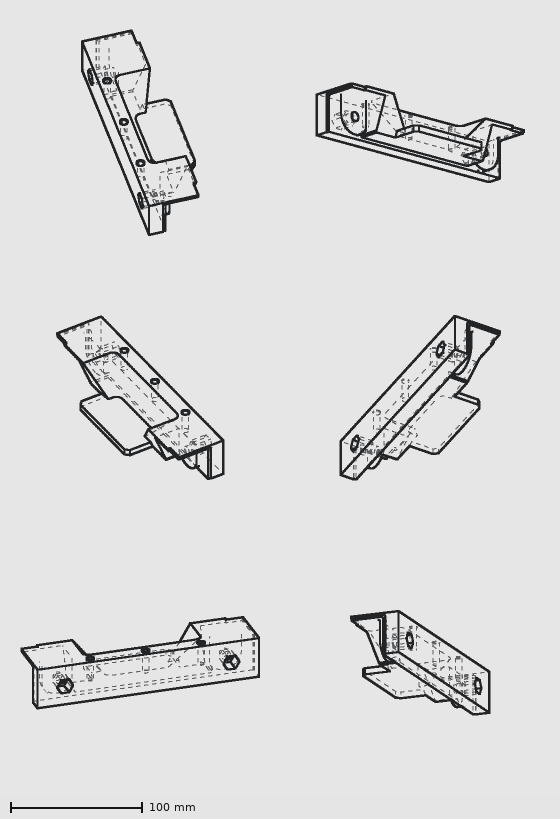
import cadquery as cq
import math

LENGTH = 177.8
HEIGHT = 32.5
DEPTH = 53.5

WALL = 13.2
FLANGE = 2.8
FLANGE_DEPTH = 41.6
INNER_FILLET = 1.8
ROOT_FILLET = 0.9
REAR_SLOPE = 0.39

RELIEF_LENGTH = 0.7
RELIEF = 2.0
THIN_FLANGE = 1.5

NOTCH_LENGTH = 13.5
NOTCH_DEPTH = 2.3

BLOCK_WIDTH = 110.2
BLOCK_CHAMFER_HEIGHT = 1.5
BLOCK_CHAMFER_WIDTH = 0.7
TONGUE_WIDTH = 70.2
TONGUE_BOTTOM = 2.7
TONGUE_THICKNESS = 5.0
TONGUE_TOP = TONGUE_BOTTOM + TONGUE_THICKNESS
TONGUE_CHAMFER = 3.0

RECESS_TOP_WIDTH = 94.8
RECESS_FLOOR_WIDTH = 53.0
RECESS_FRONT = 12.8
RECESS_FILLET = 6.0

BOLT_SPACING = 133.4
BOLT_Z = 15.3
BOLT_DIAMETER = 7.1
BOSS_RADIUS = 14.2
BOSS_REAR = 18.8
HEX_FLATS = 11.0
HEX_DEPTH = 12.5

TOP_HOLE_SPACING = 44.5
TOP_HOLE_Y = 6.5
TOP_HOLE_DIAMETER = 5.0
TOP_HOLE_DEPTH = 17.8
TOP_HOLE_CHAMFER = 0.5
DRILL_TIP_ANGLE = 118

MARGIN = 0.2


def rear_y(z):
    """Y of the sloping rear surface at height z."""
    return FLANGE_DEPTH - REAR_SLOPE * (HEIGHT - z)


def side_profile(points, width):
    """Extrude a closed Y-Z outline symmetrically about the middle of the part."""
    return cq.Workplane("YZ").polyline(points).close().extrude(width / 2, both=True)


def make_angle(length, wall, flange, rear):
    """L-section body with a filleted inner corner."""
    underside = HEIGHT - flange
    outline = [
        (0, 0), (wall, 0), (wall, underside),
        (rear, underside), (rear, HEIGHT), (0, HEIGHT),
    ]
    inner_corner = cq.selectors.NearestToPointSelector((0, wall, underside))
    return side_profile(outline, length).edges("|X").edges(inner_corner).fillet(INNER_FILLET)


def make_body():
    """Angle with stepped ends and a notch at each end of its rear edge."""
    notch_y = FLANGE_DEPTH - NOTCH_DEPTH
    ends = make_angle(LENGTH, WALL - RELIEF, THIN_FLANGE, notch_y)
    middle_length = LENGTH - 2 * RELIEF_LENGTH
    middle = make_angle(middle_length, WALL, FLANGE, notch_y)
    lip_outline = [
        (WALL + INNER_FILLET, HEIGHT - FLANGE), (rear_y(HEIGHT - FLANGE), HEIGHT - FLANGE),
        (FLANGE_DEPTH, HEIGHT), (WALL + INNER_FILLET, HEIGHT),
    ]
    lip = side_profile(lip_outline, LENGTH - 2 * NOTCH_LENGTH)
    return ends.union(middle).union(lip)


def make_block():
    """Central block behind the wall, with its lower side edges chamfered."""
    outline = [
        (0, TONGUE_BOTTOM), (rear_y(TONGUE_BOTTOM), TONGUE_BOTTOM),
        (FLANGE_DEPTH, HEIGHT), (0, HEIGHT),
    ]
    block = side_profile(outline, BLOCK_WIDTH)
    return block.faces("<Z").edges("|Y").chamfer(BLOCK_CHAMFER_WIDTH, BLOCK_CHAMFER_HEIGHT)


def make_tongue():
    """Flat tongue reaching out at the rear, with chamfered corners."""
    return (
        cq.Workplane("XY", origin=(0, 0, TONGUE_BOTTOM))
        .rect(TONGUE_WIDTH, 2 * DEPTH)
        .extrude(TONGUE_THICKNESS)
        .edges("|Z and >Y")
        .chamfer(TONGUE_CHAMFER)
        .intersect(cq.Workplane("XY").box(LENGTH, DEPTH, HEIGHT, centered=(True, False, False)))
    )


def make_recess():
    """Cutter with inward-sloping sides and a front wall parallel to the rear slope."""
    depth = HEIGHT - TONGUE_TOP
    front_at_floor = RECESS_FRONT + REAR_SLOPE * depth
    length = DEPTH
    cutter = (
        cq.Workplane("XY", origin=(0, RECESS_FRONT + length / 2, HEIGHT))
        .rect(RECESS_TOP_WIDTH, length)
        .workplane(offset=-depth)
        .center(0, front_at_floor - RECESS_FRONT)
        .rect(RECESS_FLOOR_WIDTH, length)
        .loft(ruled=True)
    )
    front_corners = cutter.faces("<Y").edges("not |X")
    return front_corners.fillet(RECESS_FILLET)


def make_boss(x):
    """Round-bottomed boss that runs up into the flange."""
    base = cq.Workplane("XZ", origin=(x, 0, BOLT_Z))
    barrel = base.circle(BOSS_RADIUS).extrude(-BOSS_REAR)
    rise = HEIGHT - FLANGE / 2 - BOLT_Z
    neck = base.center(0, rise / 2).rect(2 * BOSS_RADIUS, rise).extrude(-BOSS_REAR)
    return barrel.union(neck)


def make_bolt_hole(x):
    """Through hole with a hexagonal pocket in the front face."""
    base = cq.Workplane("XZ", origin=(x, 0, BOLT_Z))
    hex_corners = HEX_FLATS / math.cos(math.pi / 6)
    hole = base.circle(BOLT_DIAMETER / 2).extrude(-BOSS_REAR)
    return hole.union(base.polygon(6, hex_corners).extrude(-HEX_DEPTH))


def make_top_hole(x):
    """Blind hole with a chamfered mouth and a conical drill tip."""
    radius = TOP_HOLE_DIAMETER / 2
    tip = radius / math.tan(math.radians(DRILL_TIP_ANGLE / 2))
    outline = [
        (0, 0), (radius + TOP_HOLE_CHAMFER, 0), (radius, -TOP_HOLE_CHAMFER),
        (radius, -TOP_HOLE_DEPTH), (0, -TOP_HOLE_DEPTH - tip),
    ]
    return (
        cq.Workplane("XZ", origin=(x, TOP_HOLE_Y, HEIGHT))
        .polyline(outline)
        .close()
        .revolve(360, (0, 0, 0), (0, 1, 0))
    )


bolt_positions = (-BOLT_SPACING / 2, BOLT_SPACING / 2)

body = make_body()
result = body
for bolt_x in bolt_positions:
    result = result.union(make_boss(bolt_x))

for bolt_x in bolt_positions:
    around_boss = cq.selectors.BoxSelector(
        (bolt_x - BOSS_RADIUS - MARGIN, WALL - MARGIN, 0),
        (bolt_x + BOSS_RADIUS + MARGIN, BOSS_REAR + MARGIN, HEIGHT - FLANGE + MARGIN),
        boundingbox=True,
    )
    rear_rim = cq.selectors.BoxSelector(
        (-LENGTH, BOSS_REAR - MARGIN, 0),
        (LENGTH, BOSS_REAR + MARGIN, HEIGHT - FLANGE - MARGIN),
    )
    result = result.edges(around_boss - rear_rim).fillet(ROOT_FILLET)

body_with_block = body.union(make_block())
for side in (-1, 1):
    block_root = cq.selectors.NearestToPointSelector(
        (side * BLOCK_WIDTH / 2, (BOSS_REAR + FLANGE_DEPTH) / 2, HEIGHT - FLANGE)
    )
    body_with_block = body_with_block.edges("|Y").edges(block_root).fillet(ROOT_FILLET)

result = result.union(body_with_block)
result = result.cut(make_recess()).union(make_tongue())

for bolt_x in bolt_positions:
    result = result.cut(make_bolt_hole(bolt_x))

for hole_x in (-TOP_HOLE_SPACING, 0, TOP_HOLE_SPACING):
    result = result.cut(make_top_hole(hole_x))